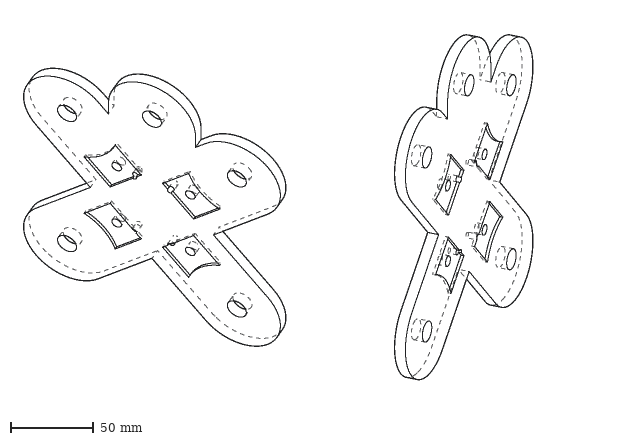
import cadquery as cq
import math

total_height = 200.7
thickness = 7.5
arm_reach = 82.5
diagonal_angles = (45, 135, 225, 315)
upright_angle = 90
arm_angles = diagonal_angles + (upright_angle,)
diagonal_offset = arm_reach * math.sin(math.radians(45))
arm_radius = (total_height - arm_reach - diagonal_offset) / 2

arm_hole_diameter = 13.0
pocket_hole_diameter = 6.6
pocket_hole_offset = 25.3
pin_hole_diameter = 3.6
pin_hole_x = 12.5
pin_hole_z = 24.5

pocket_inner_reach = 25.5
pocket_width = 30.1
pocket_arc_radius = 35.1
pocket_depth = 2.0


def front_plane():
    """Work plane facing +Y, with local x along X and local y along -Z."""
    return cq.Workplane(cq.Plane(origin=(0, 0, 0), xDir=(1, 0, 0), normal=(0, 1, 0)))


def turned(body, angle):
    """Turn a body lying along +X to the given angle from +X towards +Z."""
    return body.rotate((0, 0, 0), (0, 1, 0), -angle)


def arm():
    bar = front_plane().rect(arm_reach, 2 * arm_radius).extrude(thickness)
    bar = bar.translate((arm_reach / 2, 0, 0))
    end = front_plane().center(arm_reach, 0).circle(arm_radius).extrude(thickness)
    return bar.union(end)


def arm_hole():
    return front_plane().center(arm_reach, 0).circle(arm_hole_diameter / 2).extrude(thickness)


def pocket():
    half_width = pocket_width / 2
    corner_reach = arm_reach - math.sqrt(pocket_arc_radius**2 - half_width**2)
    return (
        front_plane()
        .moveTo(pocket_inner_reach, -half_width)
        .lineTo(corner_reach, -half_width)
        .threePointArc((arm_reach - pocket_arc_radius, 0), (corner_reach, half_width))
        .lineTo(pocket_inner_reach, half_width)
        .close()
        .extrude(pocket_depth)
    )


def four_holes(x, z, diameter):
    """Through holes mirrored about the X and Z axes."""
    centres = front_plane().rect(2 * x, 2 * z, forConstruction=True).vertices()
    return centres.circle(diameter / 2).extrude(thickness)


result = turned(arm(), upright_angle)
for angle in diagonal_angles:
    result = result.union(turned(arm(), angle))

for angle in arm_angles:
    result = result.cut(turned(arm_hole(), angle))

for angle in diagonal_angles:
    result = result.cut(turned(pocket(), angle))

result = result.cut(four_holes(pocket_hole_offset, pocket_hole_offset, pocket_hole_diameter))
result = result.cut(four_holes(pin_hole_x, pin_hole_z, pin_hole_diameter))